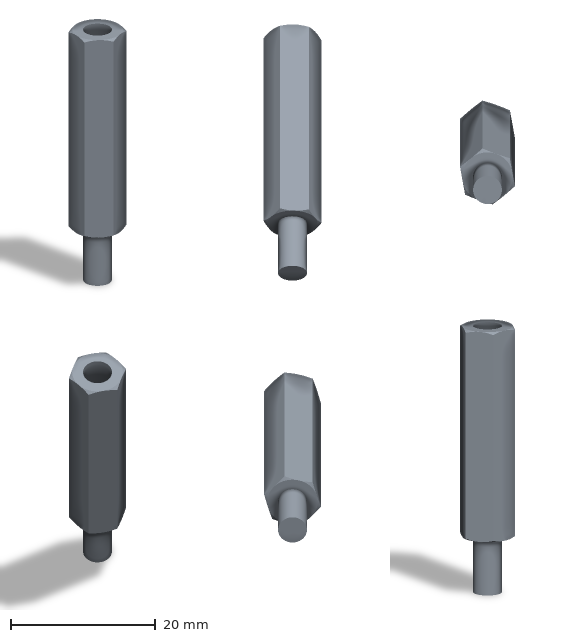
import cadquery as cq
import math

total_length = 38.0
across_flats = 7.0
hex_length = 30.02
thread_diameter = 4.0
bore_depth = 15.0
chamfer_angle = 30.0

stud_projection = total_length - hex_length
stud_length = total_length - bore_depth
across_corners = across_flats / math.cos(math.radians(30))
corner_overhang = (across_corners - across_flats) / 2
chamfer_height = corner_overhang * math.tan(math.radians(chamfer_angle))


def make_chamfer_envelope():
    """Turned profile that trims the hexagon corners at both ends."""
    face_radius = across_flats / 2
    corner_radius = across_corners / 2
    return (
        cq.Workplane("XZ")
        .moveTo(0, stud_projection)
        .lineTo(face_radius, stud_projection)
        .lineTo(corner_radius, stud_projection + chamfer_height)
        .lineTo(corner_radius, total_length - chamfer_height)
        .lineTo(face_radius, total_length)
        .lineTo(0, total_length)
        .close()
        .revolve(360, (0, 0), (0, 1))
    )


def make_spacer():
    """Hexagonal spacer with corners on the Y axis and a through bore."""
    hexagon = (
        cq.Workplane("XY")
        .workplane(offset=stud_projection)
        .transformed(rotate=(0, 0, 90))
        .polygon(6, across_corners)
        .extrude(hex_length)
    )
    bore = (
        cq.Workplane("XY")
        .workplane(offset=stud_projection)
        .circle(thread_diameter / 2)
        .extrude(hex_length)
    )
    return hexagon.intersect(make_chamfer_envelope()).cut(bore)


def make_stud():
    """Plain round stud that fills the lower part of the bore and projects below."""
    return cq.Workplane("XY").circle(thread_diameter / 2).extrude(stud_length)


spacer = make_spacer()
stud = make_stud()

result = cq.Compound.makeCompound([spacer.solids().val(), stud.val()])